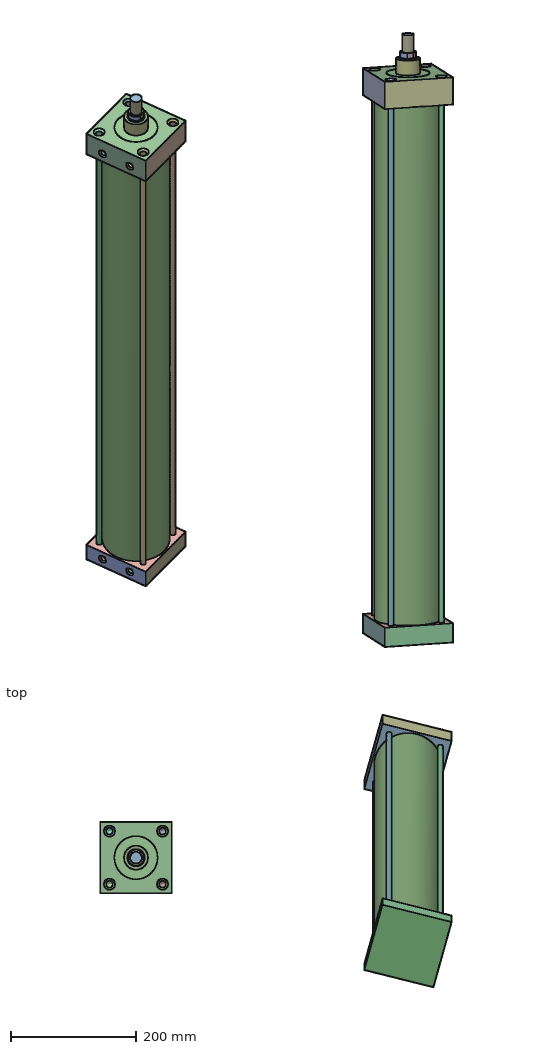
import cadquery as cq

TOTAL_LENGTH = 984.0
BLOCK_SIDE = 114.0
CAP_HEIGHT = 31.5
HEAD_HEIGHT = 44.0
HEAD_TOP = 921.0
HEAD_BOTTOM = HEAD_TOP - HEAD_HEIGHT
BARREL_DIAMETER = 108.0

TIE_ROD_DIAMETER = 9.0
TIE_ROD_SPACING = 85.0
MOUNT_HOLE_DIAMETER = 11.0
MOUNT_HOLE_MOUTH = 18.0
MOUNT_HOLE_DEPTH = 19.0

SIDE_HOLE_SPACING = 52.0
SIDE_HOLE_DIAMETER = 9.0
SIDE_HOLE_MOUTH = 14.0
SIDE_HOLE_DEPTH = 15.0
CAP_SIDE_HOLE_HEIGHT = CAP_HEIGHT / 2
HEAD_SIDE_HOLE_DROP = 28.0

RECESS_DIAMETER = 69.0
RECESS_DEPTH = 0.5
BEARING_DIAMETER = 38.0
BEARING_TOP = 945.0
LIP_DIAMETER = 28.0
LIP_TOP = 947.0

ROD_DIAMETER = 26.0
ROD_BOTTOM = HEAD_BOTTOM
ROD_SHOULDER = 956.0
FLATS_WIDTH = 24.0
STUD_DIAMETER = 19.0


def cylinder(diameter, bottom, top):
    """Solid cylinder on the Z axis."""
    return cq.Workplane("XY", origin=(0, 0, bottom)).circle(diameter / 2).extrude(top - bottom)


def box_on_axis(x_size, y_size, bottom, top):
    """Rectangular block centred on the Z axis."""
    return cq.Workplane("XY", origin=(0, 0, bottom)).rect(x_size, y_size).extrude(top - bottom)


def end_block(bottom, top):
    return box_on_axis(BLOCK_SIDE, BLOCK_SIDE, bottom, top)


def drilled_hole(diameter, mouth, depth):
    """Cutter for a countersunk hole with a 90 degree drill point, going down from the origin."""
    hole_radius = diameter / 2
    mouth_radius = mouth / 2
    countersink_depth = mouth_radius - hole_radius
    return (
        cq.Workplane("XZ")
        .moveTo(0, 0)
        .lineTo(mouth_radius, 0)
        .lineTo(hole_radius, -countersink_depth)
        .lineTo(hole_radius, -depth)
        .lineTo(0, -depth - hole_radius)
        .close()
        .revolve(360, (0, 0, 0), (0, 1, 0))
    )


def add_tie_rods_and_mount_holes(housing):
    tie_rod = cylinder(TIE_ROD_DIAMETER, CAP_HEIGHT, HEAD_BOTTOM)
    hole = drilled_hole(MOUNT_HOLE_DIAMETER, MOUNT_HOLE_MOUTH, MOUNT_HOLE_DEPTH)
    offset = TIE_ROD_SPACING / 2
    for x in (-offset, offset):
        for y in (-offset, offset):
            housing = housing.union(tie_rod.translate((x, y, 0)))
            housing = housing.cut(hole.translate((x, y, HEAD_TOP)))
    return housing


def cut_side_holes(housing):
    hole = drilled_hole(SIDE_HOLE_DIAMETER, SIDE_HOLE_MOUTH, SIDE_HOLE_DEPTH)
    hole = hole.rotate((0, 0, 0), (1, 0, 0), 90)
    for z in (CAP_SIDE_HOLE_HEIGHT, HEAD_TOP - HEAD_SIDE_HOLE_DROP):
        for x in (-SIDE_HOLE_SPACING / 2, SIDE_HOLE_SPACING / 2):
            housing = housing.cut(hole.translate((x, -BLOCK_SIDE / 2, z)))
    return housing


def add_rod_bearing(housing):
    recess_floor = HEAD_TOP - RECESS_DEPTH
    housing = housing.cut(cylinder(RECESS_DIAMETER, recess_floor, HEAD_TOP))
    housing = housing.union(cylinder(BEARING_DIAMETER, recess_floor, BEARING_TOP))
    housing = housing.union(cylinder(LIP_DIAMETER, BEARING_TOP, LIP_TOP))
    return housing.cut(cylinder(ROD_DIAMETER, ROD_BOTTOM, LIP_TOP))


def make_housing():
    cap = end_block(0, CAP_HEIGHT)
    head = end_block(HEAD_BOTTOM, HEAD_TOP)
    barrel = cylinder(BARREL_DIAMETER, CAP_HEIGHT, HEAD_BOTTOM)
    housing = cap.union(barrel).union(head)
    housing = add_tie_rods_and_mount_holes(housing)
    housing = cut_side_holes(housing)
    return add_rod_bearing(housing)


def make_piston_rod():
    shank = cylinder(ROD_DIAMETER, ROD_BOTTOM, LIP_TOP)
    flatted_neck = cylinder(ROD_DIAMETER, LIP_TOP, ROD_SHOULDER).intersect(
        box_on_axis(FLATS_WIDTH, ROD_DIAMETER, LIP_TOP, ROD_SHOULDER)
    )
    stud = cylinder(STUD_DIAMETER, ROD_SHOULDER, TOTAL_LENGTH)
    return shank.union(flatted_neck).union(stud)


housing = make_housing()
piston_rod = make_piston_rod()
result = cq.Compound.makeCompound([housing.val(), piston_rod.val()])